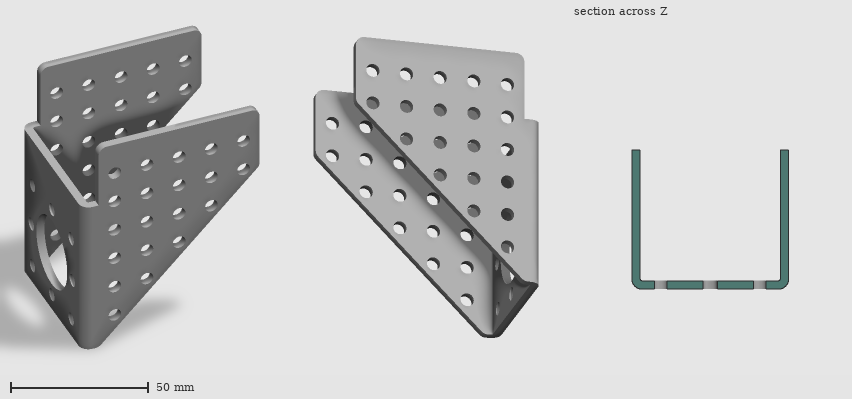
import cadquery as cq
import math

height = 88.9
rows_in_height = 7
pitch = height / rows_in_height

width = 4.5 * pitch
depth = 5.5 * pitch
front_height = 5 * pitch
step_depth = 0.5 * pitch
diagonal_rise = 5 * pitch
corner_radius = 0.25 * pitch

sheet = 3.2
inner_bend_radius = 0.7
outer_bend_radius = inner_bend_radius + sheet

hole_diameter = 5.0
bore_diameter = 2.25 * pitch
bore_height = 2 * pitch
cross_offset = 1.5 * pitch
diagonal_radius = 2 * pitch
diagonal_offset = diagonal_radius * math.cos(math.radians(45))
rows_per_column = (6, 5, 4, 3, 2)


def bent_channel():
    """U channel, open to the back, with its front face on Y = 0 and its base on Z = 0."""
    outside = (
        cq.Workplane("XY")
        .rect(width, depth)
        .extrude(height)
        .translate((0, depth / 2, 0))
        .edges("|Z and <Y")
        .fillet(outer_bend_radius)
    )
    inside = (
        cq.Workplane("XY")
        .rect(width - 2 * sheet, depth)
        .extrude(height)
        .translate((0, depth / 2 + sheet, 0))
        .edges("|Z and <Y")
        .fillet(inner_bend_radius)
    )
    return outside.cut(inside)


def side_outline():
    """Block with the side profile, spanning the full width."""
    points = [
        (0, 0),
        (depth - diagonal_rise, 0),
        (depth, diagonal_rise),
        (depth, height),
        (step_depth, height),
        (step_depth, front_height),
        (0, front_height),
    ]
    block = cq.Workplane("YZ").polyline(points).close().extrude(width / 2, both=True)
    rounded_corners = [points[1], points[2], points[3], points[4]]
    for y, z in rounded_corners:
        corner = cq.selectors.NearestToPointSelector((0, y, z))
        block = block.edges("|X").edges(corner).fillet(corner_radius)
    return block


def side_holes():
    """Triangular grid of holes running through both sides."""
    points = [
        (step_depth + (column + 0.5) * pitch, height - (row + 1) * pitch)
        for column, rows in enumerate(rows_per_column)
        for row in range(rows)
    ]
    return (
        cq.Workplane("YZ")
        .pushPoints(points)
        .circle(hole_diameter / 2)
        .extrude(width / 2, both=True)
    )


def front_holes():
    """Central bore with eight mounting holes around it, through the front plate."""
    cross = [(cross_offset, 0), (-cross_offset, 0), (0, cross_offset), (0, -cross_offset)]
    diagonal = [
        (x, z)
        for x in (-diagonal_offset, diagonal_offset)
        for z in (-diagonal_offset, diagonal_offset)
    ]
    face = cq.Workplane("XZ").center(0, bore_height)
    bore = face.circle(bore_diameter / 2).extrude(-sheet)
    mounting = face.pushPoints(cross + diagonal).circle(hole_diameter / 2).extrude(-sheet)
    return bore.union(mounting)


result = bent_channel().intersect(side_outline()).cut(side_holes()).cut(front_holes())